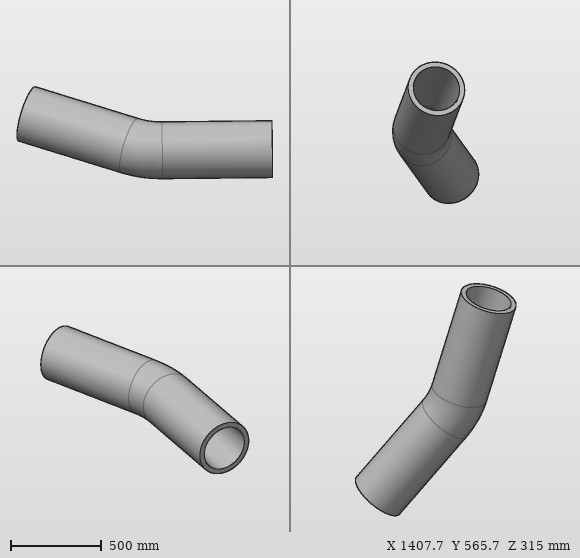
import cadquery as cq
import math

outer_diameter = 315.0
inner_diameter = 258.0

leg_length = 608.0
bend_angle = 22
bend_radius = 1.5 * outer_diameter


def bend_point(angle):
    """Centreline point after turning through an angle in degrees."""
    turn = math.radians(angle)
    x = leg_length + bend_radius * math.sin(turn)
    y = bend_radius * (1 - math.cos(turn))
    return x, y


bend_end = bend_point(bend_angle)
outlet = (
    bend_end[0] + leg_length * math.cos(math.radians(bend_angle)),
    bend_end[1] + leg_length * math.sin(math.radians(bend_angle)),
)

centreline = (
    cq.Workplane("XY")
    .lineTo(leg_length, 0)
    .threePointArc(bend_point(bend_angle / 2), bend_end)
    .lineTo(*outlet)
)

result = (
    cq.Workplane("YZ")
    .circle(outer_diameter / 2)
    .circle(inner_diameter / 2)
    .sweep(centreline)
)